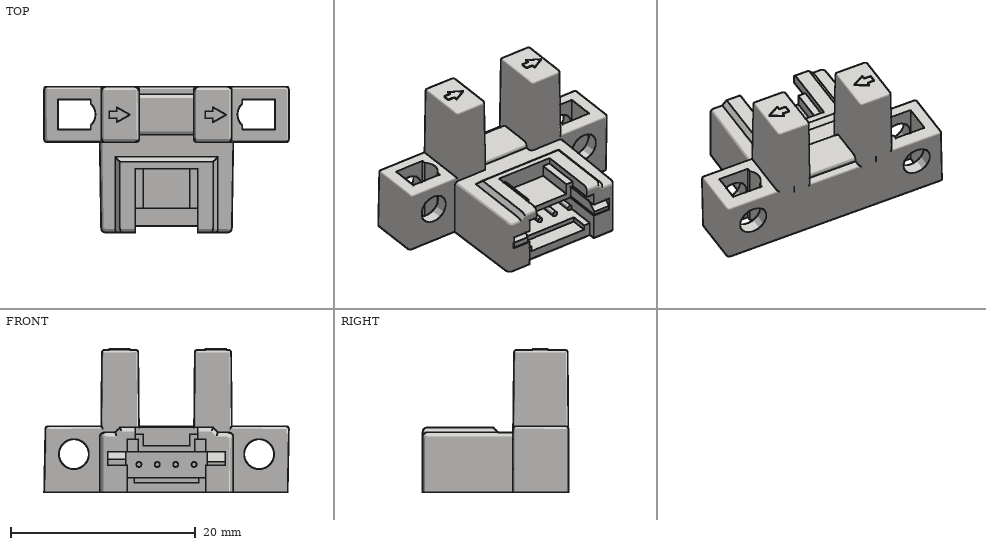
import cadquery as cq


HALF_LENGTH = 13.25
DEPTH = 15.8
HEIGHT = 15.52

SIDE_LEAN = 0.13
WING_DEPTH = 6.0
WING_HEIGHT = 7.15
WING_DRAFT_START = 6.35
WING_DRAFT = 0.05
WING_ROUND = 0.32
HOLE_DIAMETER = 3.2
HOLE_X = 10.0
HOLE_Z = 4.13
SHAFT_INNER_X = 8.2
SHAFT_OUTER_X = 11.7
SHAFT_CENTER_Y = -3.02
SHAFT_ROUND_X = 9.3

ARROW_HEIGHT = 0.1
TOWER_TOP = HEIGHT - ARROW_HEIGHT
TOWER_X = 5.02
TOWER_WIDTH_BASE = 4.13
TOWER_WIDTH_TOP = 3.95
TOWER_BACK_DRAFT = 0.08
TOWER_FRONT_DRAFT = 0.1
TOWER_ROUND = 0.32

ARROW_TAIL_X = -6.2
ARROW_NECK_X = -5.4
ARROW_TIP_X = -3.95
ARROW_HALF_SHAFT = 0.4
ARROW_HALF_HEAD = 0.82
ARROW_PITCH = 10.4
ARROW_Y = -3.05

RIDGE_BACK = 0.82
RIDGE_FRONT = 5.2
RIDGE_ROUND = 0.5

HOUSING_HALF_REAR = 7.23
HOUSING_HALF_FRONT = 7.07
HOUSING_TOP = 6.5
HOUSING_ROUND = 0.53
PAD_TOP = 7.02
PAD_HALF_WIDTH = 5.55
PAD_BACK = 7.6
PAD_SLOPE = PAD_TOP - HOUSING_TOP

CAVITY_BACK = 7.95
SLOT_BACK = 8.87
CAVITY_HALF = 4.26
CAVITY_TOP = 5.75
SLOT_HALF = 3.36
SHELF_Z = 1.6
SHELF_FRONT = 15.07
RECESS_Z = 1.03
RECESS_HALF = 3.5

TRAY_FRONT = 13.17
TRAY_BOTTOM = 4.37
TRAY_FLOOR = 5.03
TRAY_WALL_TOP = 6.3
TRAY_HALF_INNER = 2.52
TRAY_HALF_OUTER = 3.07

NOTCH_HALF_INNER = 4.42
NOTCH_HALF_OUTER = 6.35
NOTCH_BOTTOM = 2.95
NOTCH_DEPTH = 1.27
NOTCH_LEDGE = 0.1
RAMP_FOOT_LEFT = 3.58
RAMP_FOOT_RIGHT = 3.35

PIN_DIAMETER = 0.55
PIN_PITCH = 1.99
PIN_COUNT = 4
PIN_Z = 3.02

OVERLAP = 0.53


def block(x_range, depth_range, z_range):
    """Box between two X values, two distances in front of the back face, and two heights."""
    x0, x1 = x_range
    back, front = depth_range
    z0, z1 = z_range
    return cq.Workplane("XY").box(x1 - x0, front - back, z1 - z0, centered=False).translate((x0, -front, z0))


def wing(side):
    """One end of the base, from inside its tower (side = -1 or 1) to the leaning end face."""
    lean_at_top = SIDE_LEAN * WING_HEIGHT / (WING_HEIGHT - WING_ROUND)
    end_bottom = side * HALF_LENGTH - (SIDE_LEAN if side > 0 else 0)
    inner = side * TOWER_X
    slab = (
        cq.Workplane("XZ")
        .moveTo(inner, 0)
        .lineTo(end_bottom, 0)
        .lineTo(end_bottom + lean_at_top, WING_HEIGHT)
        .lineTo(inner, WING_HEIGHT)
        .close()
        .extrude(WING_DEPTH)
    )
    section = (
        cq.Workplane("YZ")
        .moveTo(0, 0)
        .lineTo(-WING_DEPTH, 0)
        .lineTo(-WING_DEPTH, WING_DRAFT_START)
        .lineTo(WING_DRAFT - WING_DEPTH, WING_HEIGHT)
        .lineTo(0, WING_HEIGHT)
        .close()
        .extrude(HALF_LENGTH + OVERLAP, both=True)
    )
    slab = slab.intersect(section)
    end_edges = slab.faces(">X" if side > 0 else "<X").edges("not <Z")
    top_edges = slab.faces(">Z").edges("|X")
    return slab.newObject(end_edges.vals() + top_edges.vals()).fillet(WING_ROUND)


def tower(side):
    """Tapered tower with rounded edges, standing on the base."""
    top_depth = WING_DEPTH - TOWER_BACK_DRAFT - TOWER_FRONT_DRAFT
    top_shift = (TOWER_FRONT_DRAFT - TOWER_BACK_DRAFT) / 2
    shape = (
        cq.Workplane("XY", origin=(side * TOWER_X, -WING_DEPTH / 2, HOUSING_TOP - OVERLAP))
        .rect(TOWER_WIDTH_BASE, WING_DEPTH)
        .workplane(offset=TOWER_TOP - HOUSING_TOP + OVERLAP)
        .center(0, top_shift)
        .rect(TOWER_WIDTH_TOP, top_depth)
        .loft(ruled=True)
    )
    return shape.edges("not <Z").fillet(TOWER_ROUND)


def arrow(shift):
    """Raised arrow pointing to +X on top of a tower."""
    return (
        cq.Workplane("XY", origin=(shift, ARROW_Y, TOWER_TOP))
        .moveTo(ARROW_TAIL_X, -ARROW_HALF_SHAFT)
        .lineTo(ARROW_NECK_X, -ARROW_HALF_SHAFT)
        .lineTo(ARROW_NECK_X, -ARROW_HALF_HEAD)
        .lineTo(ARROW_TIP_X, 0)
        .lineTo(ARROW_NECK_X, ARROW_HALF_HEAD)
        .lineTo(ARROW_NECK_X, ARROW_HALF_SHAFT)
        .lineTo(ARROW_TAIL_X, ARROW_HALF_SHAFT)
        .close()
        .extrude(ARROW_HEIGHT)
    )


def saddle():
    """Low middle of the base with the rounded ridge between the towers."""
    middle = (-TOWER_X, TOWER_X)
    base = block(middle, (0, WING_DEPTH), (0, HOUSING_TOP)).edges(">Y and >Z").fillet(WING_ROUND)
    ridge = block(middle, (RIDGE_BACK, RIDGE_FRONT), (HOUSING_TOP - OVERLAP, WING_HEIGHT))
    return base.union(ridge.edges("|X and >Z").fillet(RIDGE_ROUND))


def housing():
    """Connector housing narrowing toward the front, with a raised pad on top."""
    rear = -WING_DEPTH + OVERLAP
    body = (
        cq.Workplane("XY")
        .moveTo(-HOUSING_HALF_REAR, rear)
        .lineTo(-HOUSING_HALF_REAR, -WING_DEPTH)
        .lineTo(-HOUSING_HALF_FRONT, -DEPTH)
        .lineTo(HOUSING_HALF_FRONT, -DEPTH)
        .lineTo(HOUSING_HALF_REAR, -WING_DEPTH)
        .lineTo(HOUSING_HALF_REAR, rear)
        .close()
        .extrude(HOUSING_TOP)
    )
    rounded = body.edges("<Y and |Z").vals() + body.faces(">Z").edges("not >Y").vals()
    body = body.newObject(rounded).fillet(HOUSING_ROUND)

    pad_half = PAD_HALF_WIDTH + OVERLAP
    pad_base = HOUSING_TOP - 2 * OVERLAP
    pad = block((-pad_half, pad_half), (PAD_BACK - OVERLAP, DEPTH), (pad_base, PAD_TOP))
    pad = pad.faces(">Z").edges("not <Y").chamfer(PAD_SLOPE + OVERLAP)
    pad = pad.faces("<Y").edges("not <Z").fillet(HOUSING_ROUND)
    return body.union(pad)


def screw_openings(side):
    """Round hole along Y and square-and-round shaft along Z through one end of the base."""
    hole = (
        cq.Workplane("XZ", origin=(side * HOLE_X, 0, HOLE_Z))
        .circle(HOLE_DIAMETER / 2)
        .extrude(WING_DEPTH)
    )
    square = (
        cq.Workplane("XY", origin=(side * (SHAFT_INNER_X + SHAFT_OUTER_X) / 2, SHAFT_CENTER_Y, 0))
        .rect(SHAFT_OUTER_X - SHAFT_INNER_X, HOLE_DIAMETER)
        .extrude(WING_HEIGHT)
    )
    relief = (
        cq.Workplane("XY", origin=(side * SHAFT_ROUND_X, SHAFT_CENTER_Y, 0))
        .circle(HOLE_DIAMETER / 2)
        .extrude(WING_HEIGHT)
    )
    return hole.union(square).union(relief)


def connector_cavity():
    """Space for the mating plug: open at the front and, through a narrower slot, at the top."""
    inside = (-CAVITY_HALF, CAVITY_HALF)
    cavity = block(inside, (SLOT_BACK, DEPTH), (SHELF_Z, CAVITY_TOP))
    plug_space = block(inside, (CAVITY_BACK, DEPTH), (SHELF_Z, TRAY_BOTTOM))
    slot = block((-SLOT_HALF, SLOT_HALF), (SLOT_BACK, DEPTH), (TRAY_BOTTOM, PAD_TOP))
    gap = block(inside, (SHELF_FRONT, DEPTH), (0, SHELF_Z))
    recess = block((-RECESS_HALF, RECESS_HALF), (TRAY_FRONT, DEPTH), (RECESS_Z, SHELF_Z))
    groove_width = (-NOTCH_HALF_INNER, NOTCH_HALF_INNER)
    latch_groove = block(groove_width, (CAVITY_BACK, DEPTH), (NOTCH_BOTTOM, TRAY_BOTTOM))
    return cavity.union(plug_space).union(slot).union(gap).union(recess).union(latch_groove)


def latch_notch(side, ramp_foot):
    """Notch in a front post: a ramp falls toward the front and ends above a narrow ledge."""
    ledge = NOTCH_LEDGE - DEPTH
    return (
        cq.Workplane("YZ", origin=(side * CAVITY_HALF, 0, 0))
        .moveTo(-DEPTH, NOTCH_BOTTOM)
        .lineTo(ledge, NOTCH_BOTTOM)
        .lineTo(ledge, ramp_foot)
        .lineTo(NOTCH_DEPTH - DEPTH, TRAY_BOTTOM)
        .lineTo(-DEPTH, TRAY_BOTTOM)
        .close()
        .extrude(side * (NOTCH_HALF_OUTER - CAVITY_HALF))
    )


def tray():
    """Trough hanging over the pins; its walls widen at the top to meet the sides of the slot."""
    depth = (SLOT_BACK - OVERLAP, TRAY_FRONT)
    lower = block((-TRAY_HALF_OUTER, TRAY_HALF_OUTER), depth, (TRAY_BOTTOM, CAVITY_TOP))
    upper = block((-SLOT_HALF, SLOT_HALF), depth, (CAVITY_TOP, TRAY_WALL_TOP))
    hollow = block(
        (-TRAY_HALF_INNER, TRAY_HALF_INNER), (SLOT_BACK, TRAY_FRONT), (TRAY_FLOOR, TRAY_WALL_TOP)
    )
    return lower.union(upper).cut(hollow)


def pins():
    """Row of contact pins, ending level with the front of the tray."""
    return (
        cq.Workplane("XZ", origin=(0, OVERLAP - CAVITY_BACK, PIN_Z))
        .rarray(PIN_PITCH, 0.26, PIN_COUNT, 1)
        .circle(PIN_DIAMETER / 2)
        .extrude(TRAY_FRONT - CAVITY_BACK + OVERLAP)
    )


result = saddle()
for side in (-1, 1):
    result = result.union(wing(side)).union(tower(side)).cut(screw_openings(side))
result = result.union(housing())

for shift in (0, ARROW_PITCH):
    result = result.union(arrow(shift))

result = result.cut(connector_cavity())
result = result.cut(latch_notch(-1, RAMP_FOOT_LEFT))
result = result.cut(latch_notch(1, RAMP_FOOT_RIGHT))
result = result.union(tray()).union(pins())